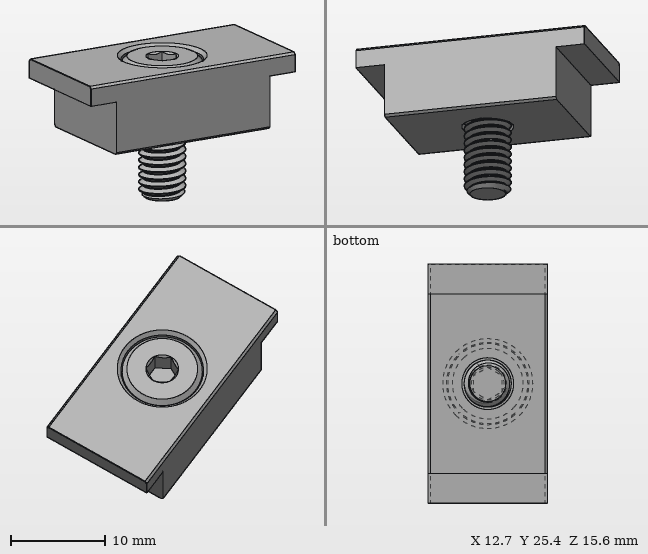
import cadquery as cq
import math

block_width = 12.7
block_height = 8.0
flange_length = 25.4
flange_thickness = 2.16
body_length = 19.05
edge_chamfer = 0.25
end_chamfer = 0.05

thread_diameter = 5.0
thread_pitch = 0.8
thread_flank_angle = 30.0
shank_length = 12.0
plain_neck = 1.2
tip_chamfer = 0.6
head_diameter = 8.5
head_height = 3.5
head_chamfer = 0.5
head_recess = 0.0625
socket_across_flats = 3.0
socket_depth = 2.4

clearance_diameter = 5.5
counterbore_diameter = 8.75
counterbore_chamfer = 0.4

head_top_z = block_height - head_recess
seat_z = head_top_z - head_height
tip_z = seat_z - shank_length

thread_radius = thread_diameter / 2
flank_slope = math.tan(math.radians(thread_flank_angle))
crest_flat = thread_pitch / 8
root_flat = thread_pitch / 8
groove_mouth = thread_pitch - crest_flat
thread_depth = (groove_mouth - root_flat) / 2 / flank_slope
root_radius = thread_radius - thread_depth
groove_overshoot = 0.05
first_crest_height = 1.06
lead_turns = 2.5
groove_start_z = tip_z + first_crest_height - lead_turns * thread_pitch
groove_end_z = seat_z - plain_neck


def make_block():
    flange = (
        cq.Workplane("XY", origin=(0, 0, block_height - flange_thickness))
        .rect(block_width, flange_length)
        .extrude(flange_thickness)
    )
    body = cq.Workplane("XY").rect(block_width, body_length).extrude(block_height)
    block = flange.union(body)

    block = block.faces(">Z or <Z").edges("|Y").chamfer(edge_chamfer)
    block = block.faces("<Y or >Y").edges("not <Z").chamfer(end_chamfer)

    clearance_hole = cq.Workplane("XY").circle(clearance_diameter / 2).extrude(block_height)
    counterbore = (
        cq.Workplane("XY", origin=(0, 0, seat_z))
        .circle(counterbore_diameter / 2)
        .extrude(block_height - seat_z)
    )
    block = block.cut(clearance_hole).cut(counterbore)
    return block.faces(">Z").edges("%CIRCLE").chamfer(counterbore_chamfer)


def make_thread_groove():
    outer_radius = thread_radius + groove_overshoot
    half_mouth = groove_mouth / 2 + groove_overshoot * flank_slope
    half_root = root_flat / 2
    helix = cq.Wire.makeHelix(
        thread_pitch,
        groove_end_z - groove_start_z,
        thread_radius,
        center=cq.Vector(0, 0, groove_start_z),
    )
    profile = (
        cq.Workplane("XZ", origin=(0, 0, groove_start_z))
        .moveTo(outer_radius, -half_mouth)
        .lineTo(root_radius, -half_root)
        .lineTo(root_radius, half_root)
        .lineTo(outer_radius, half_mouth)
        .close()
    )
    return profile.sweep(helix, isFrenet=True)


def make_shank():
    shank = (
        cq.Workplane("XY", origin=(0, 0, tip_z))
        .circle(thread_radius)
        .extrude(shank_length)
        .faces("<Z")
        .chamfer(tip_chamfer)
    )
    return shank.cut(make_thread_groove())


def make_socket():
    corner_radius = socket_across_flats / math.sqrt(3)
    hexagon = (
        cq.Workplane("XY", origin=(0, 0, head_top_z))
        .transformed(rotate=(0, 0, 90))
        .polygon(6, 2 * corner_radius)
        .extrude(-socket_depth)
    )
    mouth_bevel = cq.Solid.makeCone(
        corner_radius, 0, corner_radius, cq.Vector(0, 0, head_top_z), cq.Vector(0, 0, -1)
    )
    return hexagon.union(cq.Workplane(mouth_bevel))


def make_screw():
    head = (
        cq.Workplane("XY", origin=(0, 0, seat_z))
        .circle(head_diameter / 2)
        .extrude(head_height)
        .faces(">Z")
        .chamfer(head_chamfer)
        .cut(make_socket())
    )
    return head.union(make_shank())


block = make_block()
screw = make_screw()

result = cq.Compound.makeCompound([block.solids().val(), screw.solids().val()])